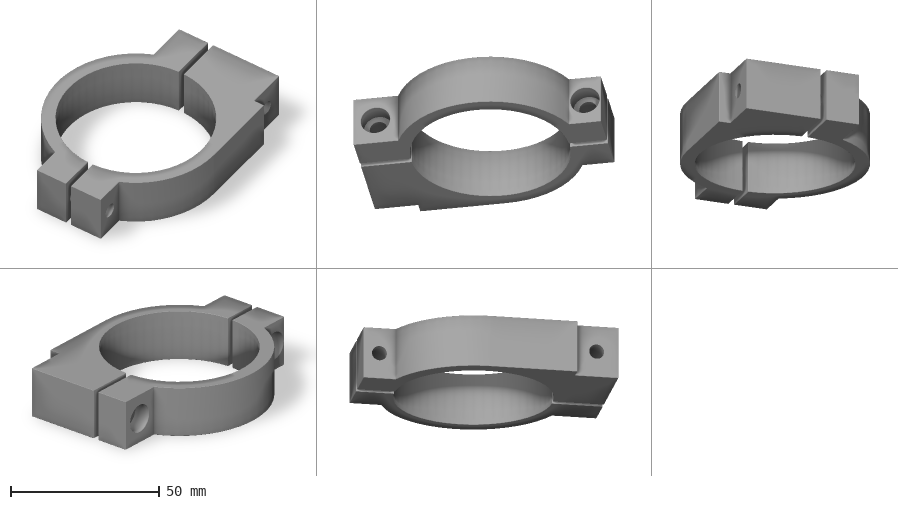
import cadquery as cq

width = 18.0
bore_radius = 27.0
ring_radius = 64.0 / 2
half_gap = 1.0

length = 84.5
lug_top = 44.4
lug_bottom = lug_top - length
left_lug_side = 12.9
right_lug_side = 13.2

block_side = 28.0
block_step = 29.65

screw_ys = (37.0, -34.6)
thread_diameter = 5.1
clearance_diameter = 6.0
head_diameter = 10.0
head_depth = 5.9

edge_break = 0.1


def plate(x_min, x_max, y_min, y_max):
    """Rectangular plate of the full clamp width, centred on Z = 0."""
    base = cq.Workplane("XY", origin=(x_min, y_min, 0))
    return base.box(x_max - x_min, y_max - y_min, width, centered=(False, False, True))


def cylinder(radius):
    """Cylinder of the full clamp width on the Z axis."""
    return cq.Workplane("XY").circle(radius).extrude(width / 2, both=True)


def screw_bore(diameter, y, x_start, x_end):
    """Cutting cylinder along X on a screw axis."""
    return cq.Workplane("YZ", origin=(x_start, y, 0)).circle(diameter / 2).extrude(x_end - x_start)


def head_counterbore(y):
    """Cutting tool for a screw head counterbore with a chamfered rim."""
    bore = screw_bore(head_diameter, y, -ring_radius, head_depth - left_lug_side)
    rim = cq.Workplane("YZ", origin=(-left_lug_side, y, 0)).circle(head_diameter / 2 + edge_break)
    return bore.union(rim.extrude(edge_break, taper=45))


def make_left_half():
    """Plain half with two lugs, counterbored for the screw heads."""
    side = plate(-ring_radius, -half_gap, -ring_radius, ring_radius)
    half = cylinder(ring_radius).intersect(side)
    half = half.union(plate(-left_lug_side, -half_gap, lug_bottom, lug_top))
    half = half.cut(cylinder(bore_radius)).edges().chamfer(edge_break)

    for y in screw_ys:
        half = half.cut(screw_bore(clearance_diameter, y, -ring_radius, 0))
        half = half.cut(head_counterbore(y))
    return half


def make_right_half():
    """Half with one lug and the mounting block, drilled for the screw threads."""
    side = plate(half_gap, ring_radius, -ring_radius, ring_radius)
    half = cylinder(ring_radius).intersect(side)
    half = half.union(plate(half_gap, right_lug_side, lug_bottom, 0))
    half = half.union(plate(half_gap, ring_radius, 0, block_step))
    half = half.union(plate(half_gap, block_side, 0, lug_top))
    half = half.cut(cylinder(bore_radius)).edges().chamfer(edge_break)

    for y in screw_ys:
        half = half.cut(screw_bore(thread_diameter, y, 0, ring_radius))
    return half


left_half = make_left_half()
right_half = make_right_half()
result = cq.Compound.makeCompound([left_half.val(), right_half.val()])